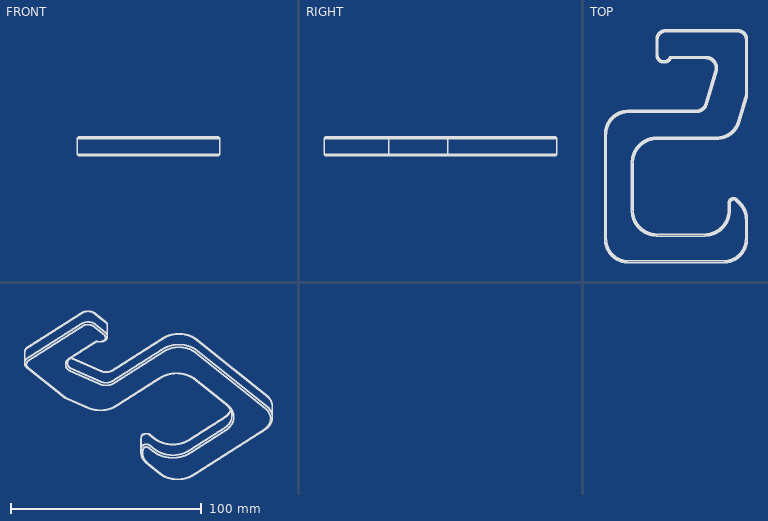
import cadquery as cq
import math

width = 75.0
height = 122.3
thickness = 10.0
edge_chamfer = 1.0

bar = 15.0
shelf_top = 80.0
shelf_bottom = shelf_top - bar
large_radius = 12.5
lip_inner_x = 65.0
lip_slope_sum = 102.9
lip_tip_radius = 2.7

lean = math.tan(math.radians(16.6))
lean_start_y = 87.6
arm_bottom = height - bar
neck_inner_x = 59.9
small_radius = 5.0
arm_end_x = 27.0
bulb_radius = 4.2
bulb_y = 109.1


def rounded_corner(before, corner, after, radius):
    """Start, middle and end of the arc that rounds one corner."""
    corner = cq.Vector(*corner)
    to_before = (cq.Vector(*before) - corner).normalized()
    to_after = (cq.Vector(*after) - corner).normalized()
    half_angle = to_before.getAngle(to_after) / 2
    setback = radius / math.tan(half_angle)
    bisector = (to_before + to_after).normalized()
    middle_offset = radius / math.sin(half_angle) - radius
    return (
        corner + to_before * setback,
        corner + bisector * middle_offset,
        corner + to_after * setback,
    )


bulb_x = arm_end_x + bulb_radius
bulb_start = (arm_end_x, bulb_y)
bulb_bottom = (bulb_x, bulb_y - bulb_radius)
bulb_end = (bulb_x + math.sqrt(bulb_radius**2 - (bulb_y - arm_bottom) ** 2), arm_bottom)

corners = [
    ((neck_inner_x, arm_bottom), small_radius),
    ((neck_inner_x - lean * (arm_bottom - shelf_top), shelf_top), small_radius),
    ((0, shelf_top), large_radius),
    ((0, 0), large_radius),
    ((width, 0), large_radius),
    ((width, lip_slope_sum - width), large_radius),
    ((lip_inner_x, lip_slope_sum - lip_inner_x), lip_tip_radius),
    ((lip_inner_x, bar), large_radius),
    ((bar, bar), large_radius),
    ((bar, shelf_bottom), large_radius),
    ((width - lean * (lean_start_y - shelf_bottom), shelf_bottom), large_radius),
    ((width, lean_start_y), 0),
    ((width, height), small_radius),
    ((arm_end_x, height), small_radius),
]


def hook_outline():
    points = [bulb_end] + [point for point, _ in corners] + [bulb_start]
    outline = cq.Workplane("XY").moveTo(*bulb_end)
    for i, (point, radius) in enumerate(corners, start=1):
        if radius == 0:
            outline = outline.lineTo(*point)
            continue
        start, middle, end = rounded_corner(points[i - 1], point, points[i + 1], radius)
        outline = outline.lineTo(start.x, start.y)
        outline = outline.threePointArc((middle.x, middle.y), (end.x, end.y))
    outline = outline.lineTo(*bulb_start)
    return outline.threePointArc(bulb_bottom, bulb_end).close()


plate = hook_outline().extrude(thickness)
result = plate.faces("<Z or >Z").edges().chamfer(edge_chamfer)